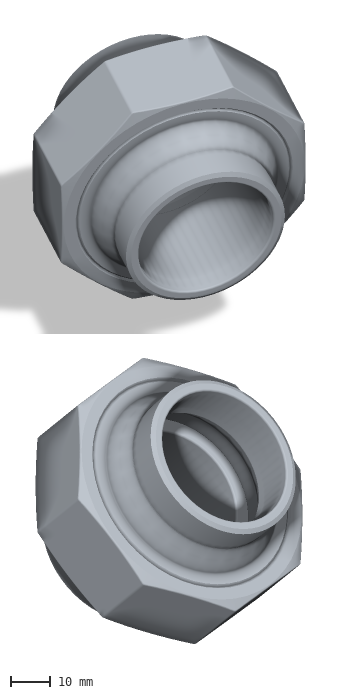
import cadquery as cq
import math


ACROSS_FLATS = 65.0
NUT_LENGTH = 22.0
NUT_SIDES = 8
NUT_CORNER_RADIUS = 1.0
NUT_FACE_DIAMETER = 64.2
NUT_CHAMFER_ANGLE = 18.5
NUT_CHAMFER_FILLET = 0.4
NUT_MOUTH_DIAMETER = 58.0

TOTAL_LENGTH = 54.0
PIPE_DIAMETER = 42.4
FLANGE_FACE_DIAMETER = 55.85
CONE_START = 17.55
CONE_ANGLE = 30.0
WELD_FACE_DIAMETER = 40.1
WELD_BEVEL_ANGLE = 30.0
WELD_END_FILLET = 0.5

BORE_DIAMETER = 36.0
CHAMBER_DIAMETER = 42.5
CHAMBER_TAPER_START = -13.6
CHAMBER_TAPER_ANGLE = 30.0
MEETING_FACE = -2.7

EDGE_TOLERANCE = 0.005

half_nut = NUT_LENGTH / 2
half_total = TOTAL_LENGTH / 2
nut_mouth_radius = NUT_MOUTH_DIAMETER / 2
flange_face_radius = FLANGE_FACE_DIAMETER / 2
pipe_radius = PIPE_DIAMETER / 2
weld_face_radius = WELD_FACE_DIAMETER / 2
bore_radius = BORE_DIAMETER / 2
chamber_radius = CHAMBER_DIAMETER / 2

flange_radius = (nut_mouth_radius + flange_face_radius) / 2
groove_depth = nut_mouth_radius - flange_radius

weld_bevel_length = (pipe_radius - weld_face_radius) * math.tan(math.radians(WELD_BEVEL_ANGLE))
cone_radius = pipe_radius + (CONE_START - half_nut) * math.tan(math.radians(CONE_ANGLE))
chamber_taper_length = (chamber_radius - bore_radius) / math.tan(math.radians(CHAMBER_TAPER_ANGLE))
chamber_taper_end = CHAMBER_TAPER_START + chamber_taper_length


def revolve_about_x(outline):
    """Solid of revolution from a closed outline of (x, radius) points."""
    return cq.Workplane("XY").polyline(outline).close().revolve(360, (0, 0, 0), (1, 0, 0))


def fillet_circles(body, circles, fillet_radius):
    """Fillet the circular edges given as (x, radius) pairs."""
    def is_listed(edge):
        return any(
            abs(edge.Center().x - x) < EDGE_TOLERANCE and abs(edge.radius() - radius) < EDGE_TOLERANCE
            for x, radius in circles
        )

    return body.edges("%CIRCLE").filter(is_listed).fillet(fillet_radius)


def make_octagon_prism(corner_radius):
    """Octagonal bar along X with flats square to Y and Z."""
    half_step = 180 / NUT_SIDES
    return (
        cq.Workplane("YZ")
        .polygon(NUT_SIDES, 2 * corner_radius)
        .extrude(half_nut, both=True)
        .rotate((0, 0, 0), (1, 0, 0), half_step)
        .edges("|X")
        .fillet(NUT_CORNER_RADIUS)
    )


def make_nut_envelope(corner_radius):
    """Round bar with conical ends that bevels the nut corners."""
    face_radius = NUT_FACE_DIAMETER / 2
    chamfer_length = (corner_radius - face_radius) * math.tan(math.radians(NUT_CHAMFER_ANGLE))
    return revolve_about_x([
        (-half_nut, 0),
        (-half_nut, face_radius),
        (-half_nut + chamfer_length, corner_radius),
        (half_nut - chamfer_length, corner_radius),
        (half_nut, face_radius),
        (half_nut, 0),
    ])


def make_nut_bore():
    """Cylinder that fits the flanges, flared at both ends."""
    return revolve_about_x([
        (-half_nut, 0),
        (-half_nut, nut_mouth_radius),
        (-half_nut + groove_depth, flange_radius),
        (half_nut - groove_depth, flange_radius),
        (half_nut, nut_mouth_radius),
        (half_nut, 0),
    ])


def make_nut():
    corner_radius = ACROSS_FLATS / 2 / math.cos(math.pi / NUT_SIDES)
    body = make_octagon_prism(corner_radius).intersect(make_nut_envelope(corner_radius))

    def borders_chamfer(edge):
        on_end_face = abs(edge.Center().x) > half_nut - EDGE_TOLERANCE
        return edge.geomType() != "LINE" and not on_end_face

    body = body.edges().filter(borders_chamfer).fillet(NUT_CHAMFER_FILLET)
    return body.cut(make_nut_bore())


def make_weld_end(side, bore_outline, bore_fillets):
    """Pipe stub, cone and flange toward side (-1 or 1) of X.

    bore_outline runs from the meeting face out toward the weld face, and bore_fillets
    lists its circles to round, as (x, radius) pairs.
    """
    outside = [
        (side * half_total, bore_radius),
        (side * half_total, weld_face_radius),
        (side * (half_total - weld_bevel_length), pipe_radius),
        (side * CONE_START, pipe_radius),
        (side * half_nut, cone_radius),
        (side * half_nut, flange_face_radius),
        (side * (half_nut - groove_depth), flange_radius),
        (MEETING_FACE, flange_radius),
    ]
    outside_fillets = [
        (side * half_total, bore_radius),
        (side * CONE_START, pipe_radius),
        (side * half_nut, cone_radius),
    ]
    body = revolve_about_x(outside + bore_outline)
    return fillet_circles(body, outside_fillets + bore_fillets, WELD_END_FILLET)


def make_left_end():
    """Weld end whose bore widens through a taper into a chamber."""
    chamber = [
        (MEETING_FACE, chamber_radius),
        (chamber_taper_end, chamber_radius),
        (CHAMBER_TAPER_START, bore_radius),
    ]
    return make_weld_end(-1, chamber, chamber)


def make_right_end():
    """Weld end with a straight bore."""
    bore_mouth = [(MEETING_FACE, bore_radius)]
    return make_weld_end(1, bore_mouth, bore_mouth)


nut = make_nut()
left_end = make_left_end()
right_end = make_right_end()

result = cq.Compound.makeCompound([nut.val(), left_end.val(), right_end.val()])